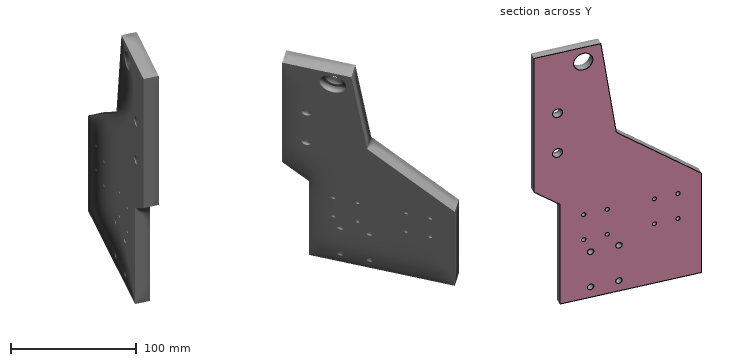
import cadquery as cq

height = 252.7
width = 142.0
thickness = 12.6

base_width = 120.0
base_height = 100.0
shoulder_height = 118.0
neck_x = 72.0
neck_z = 160.0
top_width = 56.9

hanging_diameter = 16.0
hanging_x = 100.3
hanging_z = 238.3
counterbore_diameter = 22.0
counterbore_depth = 6.0

arm_diameter = 8.0
arm_x = 122.0
arm_bottom_z = 152.5
arm_pitch = 40.0

small_diameter = 3.3
small_x = 20.0
small_bottom_z = 59.6
small_pitch_x = 20.0
small_pitch_z = 25.0
small_group_pitch = 60.0

mount_diameter = 5.0
mount_x = 70.0
mount_bottom_z = 10.5
mount_pitch_x = 24.0
mount_pitch_z = 35.5


def grid(x, z, columns, rows):
    """Hole centres for every column and row offset from (x, z)."""
    return [(x + column, z + row) for column in columns for row in rows]


def drill(plate, centres, diameter, depth=thickness):
    """Cut round holes of the given depth from the back face, through the plate by default."""
    pins = (
        cq.Workplane("XZ", origin=(0, thickness, 0))
        .pushPoints(centres)
        .circle(diameter / 2)
        .extrude(depth)
    )
    return plate.cut(pins)


outline = [
    (0, 0),
    (base_width, 0),
    (base_width, base_height),
    (width, shoulder_height),
    (width, height),
    (width - top_width, height),
    (neck_x, neck_z),
    (0, base_height),
]
plate = cq.Workplane("XZ").polyline(outline).close().extrude(-thickness)

plate = drill(plate, [(hanging_x, hanging_z)], hanging_diameter)
plate = drill(plate, [(hanging_x, hanging_z)], counterbore_diameter, counterbore_depth)
plate = drill(plate, grid(arm_x, arm_bottom_z, [0], [0, arm_pitch]), arm_diameter)

for group_offset in (0, small_group_pitch):
    group = grid(small_x + group_offset, small_bottom_z, [0, small_pitch_x], [0, small_pitch_z])
    plate = drill(plate, group, small_diameter)

mounts = grid(mount_x, mount_bottom_z, [0, mount_pitch_x], [0, mount_pitch_z])
result = drill(plate, mounts, mount_diameter)